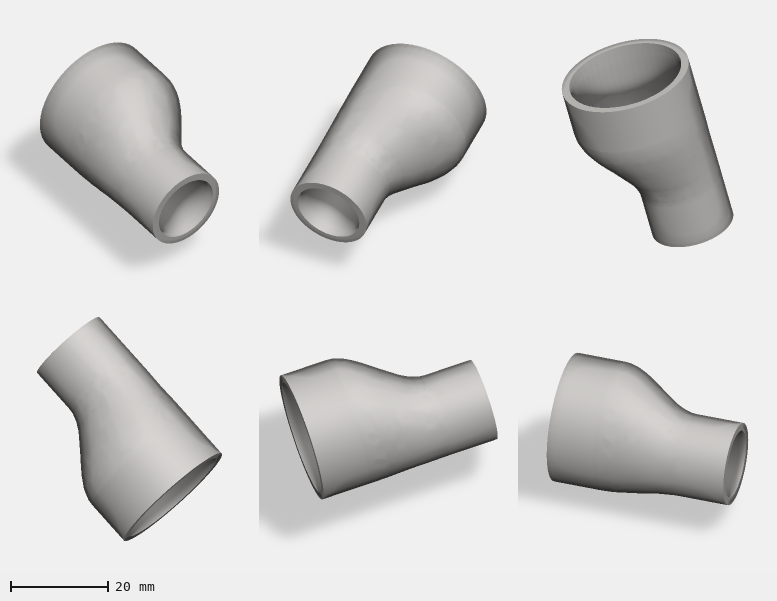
import cadquery as cq

LENGTH = 38.0
CUFF_LENGTH = 10.0
LARGE_OUTER_DIAMETER = 26.9
LARGE_INNER_DIAMETER = 23.7
SMALL_OUTER_DIAMETER = 17.2
SMALL_INNER_DIAMETER = 14.0
SECTION_COUNT = 13

TRANSITION_LENGTH = LENGTH - 2 * CUFF_LENGTH
SMALL_END_Y = -(LARGE_OUTER_DIAMETER - SMALL_OUTER_DIAMETER) / 2


def s_curve(t):
    """Blend from 0 to 1 that is tangent to the straight cuffs at both ends."""
    return t * t * (3 - 2 * t)


def cuff(x_start, center_y, diameter):
    """Straight cuff along +X."""
    plane = cq.Plane(origin=(x_start, center_y, 0), xDir=(0, 1, 0), normal=(1, 0, 0))
    return cq.Workplane(plane).circle(diameter / 2).extrude(CUFF_LENGTH)


def transition(large_diameter, small_diameter):
    """Smooth loft through circles that shrink and shift towards -Y."""
    circles = []
    for index in range(SECTION_COUNT):
        t = index / (SECTION_COUNT - 1)
        blend = s_curve(t)
        radius = (large_diameter + (small_diameter - large_diameter) * blend) / 2
        center = cq.Vector(CUFF_LENGTH + TRANSITION_LENGTH * t, SMALL_END_Y * blend, 0)
        circles.append(cq.Wire.makeCircle(radius, center, cq.Vector(1, 0, 0)))
    return cq.Workplane(cq.Solid.makeLoft(circles))


def reducer_body(large_diameter, small_diameter):
    """Solid reducer: large cuff, transition and small cuff."""
    large_cuff = cuff(0, 0, large_diameter)
    small_cuff = cuff(LENGTH - CUFF_LENGTH, SMALL_END_Y, small_diameter)
    return large_cuff.union(transition(large_diameter, small_diameter)).union(small_cuff)


outside = reducer_body(LARGE_OUTER_DIAMETER, SMALL_OUTER_DIAMETER)
bore = reducer_body(LARGE_INNER_DIAMETER, SMALL_INNER_DIAMETER)

result = outside.cut(bore)